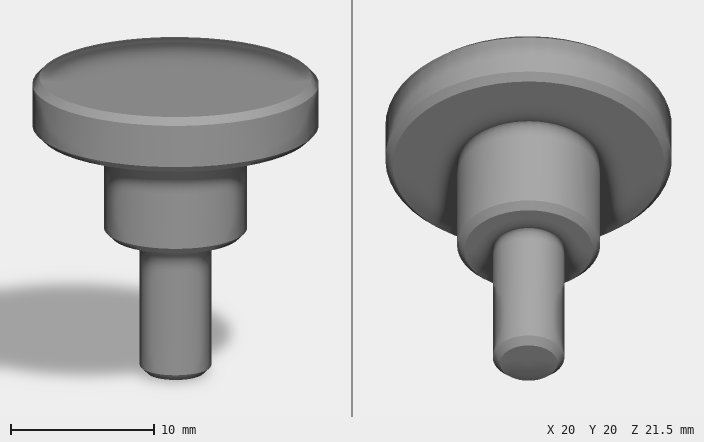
import cadquery as cq

total_height = 21.5
head_diameter = 20.0
head_height = 4.0
collar_diameter = head_diameter / 2
collar_height = 7.5
stud_diameter = head_diameter / 4
edge_chamfer = 0.5

stud_height = total_height - head_height - collar_height


def cylinder(diameter, height, base_z, chamfered_edges):
    """Upright cylinder on the Z axis with the selected rim edges chamfered."""
    body = cq.Workplane("XY").workplane(offset=base_z).circle(diameter / 2).extrude(height)
    return body.faces(chamfered_edges).edges().chamfer(edge_chamfer)


stud = cylinder(stud_diameter, stud_height, 0, "<Z")
collar = cylinder(collar_diameter, collar_height, stud_height, "<Z")
head = cylinder(head_diameter, head_height, stud_height + collar_height, "<Z or >Z")

result = stud.union(collar).union(head)